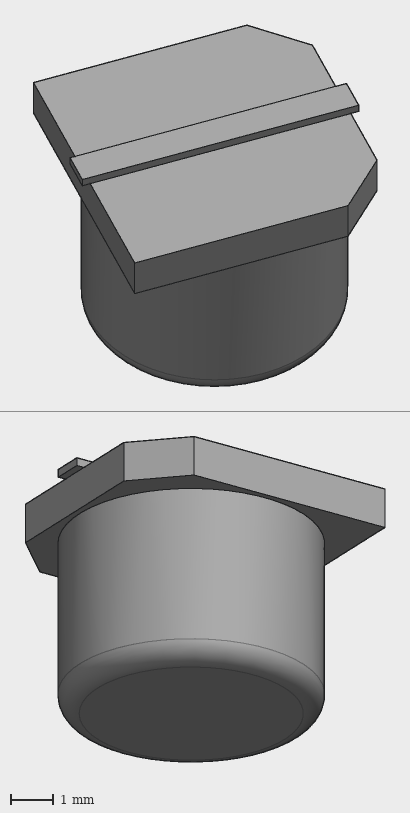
import cadquery as cq

strip_length = 7.0
strip_width = 0.8
strip_height = 0.2
plate_side = 6.6
plate_thickness = 1.0
corner_cut = 1.2
can_diameter = 6.3
can_height = 4.4
can_edge_radius = 0.505


def make_can():
    """Round body with a rounded lower rim, standing on Z = 0."""
    can = cq.Workplane("XY").circle(can_diameter / 2).extrude(can_height)
    return can.faces("<Z").edges().fillet(can_edge_radius)


def make_plate():
    """Square plate on top of the can, with its two +Y corners cut off."""
    plate = (
        cq.Workplane("XY")
        .workplane(offset=can_height)
        .rect(plate_side, plate_side)
        .extrude(plate_thickness)
    )
    return plate.faces(">Y").edges("|Z").chamfer(corner_cut)


def make_strip():
    """Thin strip lying along Y on the plate and overhanging both ends."""
    return (
        cq.Workplane("XY")
        .workplane(offset=can_height + plate_thickness)
        .rect(strip_width, strip_length)
        .extrude(strip_height)
    )


result = make_can().union(make_plate()).union(make_strip())